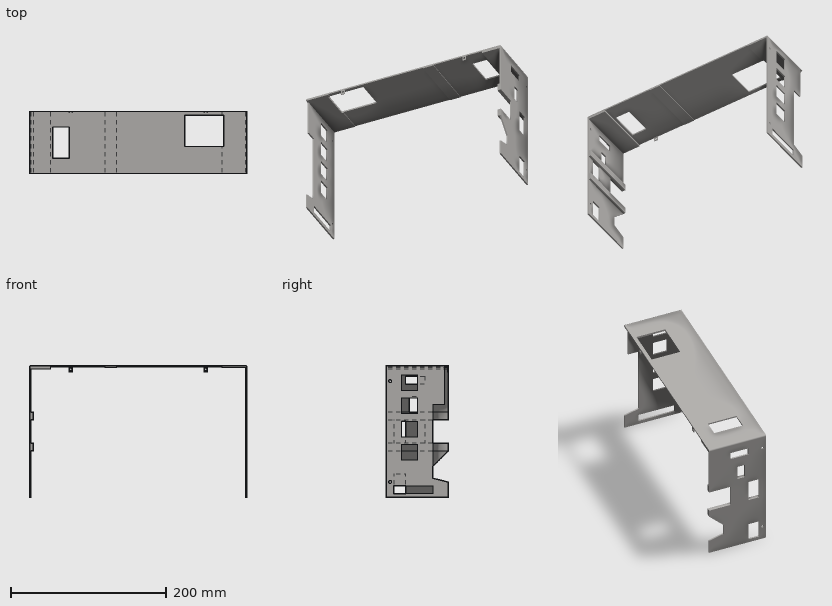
import cadquery as cq
length = 280.0
width = 80.0
height = 170.0
sheet_thickness = 2.0
bend_radius = sheet_thickness

half_length = length / 2
half_width = width / 2
leg_inner_x = half_length - sheet_thickness
plate_underside = height - sheet_thickness

recess_y = 20.0
foot_rear_z = 20.0
foot_inner_z = 25.0

recess_top_inner_z = 40.0
recess_top_rear_z = 60.0
notch_y = 10.0
notch_bottom = 70.0
notch_top = 100.0

right_step_z = 120.0
right_upper_y = 35.0

left_openings = [
    (-15.0, notch_y, 146.0, 156.0),
    (-10.0, 0.0, 110.0, 130.0),
    (-30.0, -15.0, notch_bottom, notch_top),
    (-30.0, -15.0, 5.0, 30.0),
]

right_slot = (-30.0, recess_y, 5.0, 15.0)
window_size = 20.0
window_y_max = 0.0
window_pitch = 30.0
window_count = 4
first_window_z = 48.0

plate_openings = [
    (-110.0, -89.0, -20.0, 20.0),
    (60.0, 110.0, -5.0, 35.0),
]

screw_diameter = 3.5
screw_y = -35.0
screw_heights = (20.0, 150.0)

leg_rib_depth = 3.0
leg_rib_height = 10.0
leg_rib_bottoms = (notch_bottom - leg_rib_height, notch_top)

plate_strips = [
    (-leg_inner_x, -113.0, 2.5),
    (-43.0, -28.0, 0.75),
    (108.0, leg_inner_x, 0.75),
]

eyelet_x = 87.0
eyelet_width = 5.0
eyelet_bottom = 162.0
eyelet_thickness = 1.0
eyelet_hole_diameter = 3.0
eyelet_hole_z = 165.3


def box(x_min, x_max, y_min, y_max, z_min, z_max):
    size = (x_max - x_min, y_max - y_min, z_max - z_min)
    return cq.Workplane("XY").box(*size, centered=False).translate((x_min, y_min, z_min))


def leg(rear_edge, x_start):
    """Upright sheet with a straight front edge; rear_edge runs from bottom to top."""
    outline = [(-half_width, 0), (half_width, 0), *rear_edge, (-half_width, height)]
    return cq.Workplane("YZ", origin=(x_start, 0, 0)).polyline(outline).close().extrude(sheet_thickness)


def left_leg():
    rear_edge = [
        (half_width, foot_rear_z),
        (recess_y, foot_inner_z),
        (recess_y, recess_top_inner_z),
        (half_width, recess_top_rear_z),
        (half_width, notch_bottom),
        (notch_y, notch_bottom),
        (notch_y, notch_top),
        (half_width, notch_top),
        (half_width, height),
    ]
    body = leg(rear_edge, -half_length)
    for z in leg_rib_bottoms:
        rib_end_x = -leg_inner_x + leg_rib_depth
        body = body.union(box(-half_length, rib_end_x, -half_width, half_width, z, z + leg_rib_height))
    for opening in left_openings:
        body = body.cut(box(-half_length, -leg_inner_x, *opening))
    return body


def right_leg():
    rear_edge = [
        (half_width, foot_rear_z),
        (recess_y, foot_inner_z),
        (recess_y, right_step_z),
        (right_upper_y, right_step_z),
        (right_upper_y, plate_underside),
        (half_width, plate_underside),
        (half_width, height),
    ]
    body = leg(rear_edge, leg_inner_x).cut(box(leg_inner_x, half_length, *right_slot))
    for i in range(window_count):
        z = first_window_z + i * window_pitch
        window = (window_y_max - window_size, window_y_max, z, z + window_size)
        body = body.cut(box(leg_inner_x, half_length, *window))
    return body


def top_plate():
    body = box(-half_length, half_length, -half_width, half_width, plate_underside, height)
    for x_min, x_max, depth in plate_strips:
        body = body.union(box(x_min, x_max, -half_width, half_width, plate_underside - depth, height))
    return body


def plate_opening(x_min, x_max, y_min, y_max):
    deepest = max(depth for _, _, depth in plate_strips)
    return box(x_min, x_max, y_min, y_max, plate_underside - deepest, height)


def eyelet(x_center):
    half_eyelet = eyelet_width / 2
    y_front = half_width - eyelet_thickness
    block = box(
        x_center - half_eyelet, x_center + half_eyelet, y_front, half_width, eyelet_bottom, plate_underside
    )
    hole = cq.Workplane("XZ", origin=(x_center, half_width, eyelet_hole_z)).circle(eyelet_hole_diameter / 2)
    return block.cut(hole.extrude(eyelet_thickness))


def screw_hole(z):
    hole = cq.Workplane("YZ").center(screw_y, z).circle(screw_diameter / 2)
    return hole.extrude(half_length, both=True)


result = top_plate().union(left_leg()).union(right_leg())
result = result.edges("|Y and >Z").fillet(bend_radius)
for opening in plate_openings:
    result = result.cut(plate_opening(*opening))
for x_center in (-eyelet_x, eyelet_x):
    result = result.union(eyelet(x_center))
for z in screw_heights:
    result = result.cut(screw_hole(z))